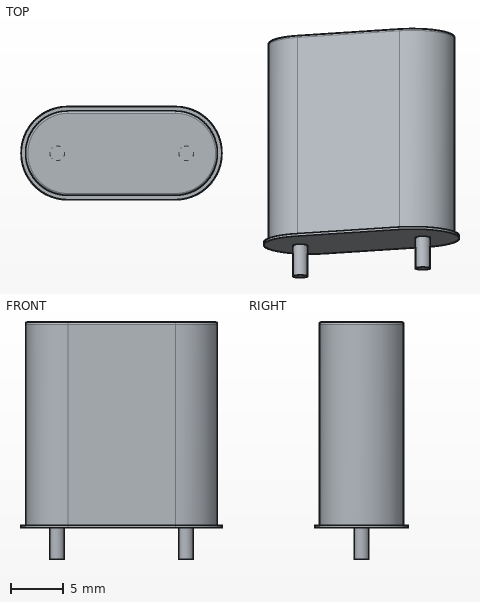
import cadquery as cq

flange_length = 19.23
flange_width = 8.94
flange_thickness = 0.25

flange_margin = 0.435
can_length = flange_length - 2 * flange_margin
can_width = flange_width - 2 * flange_margin
can_top_radius = 0.2

pin_diameter = 1.4
pin_spacing = 12.34
pin_length = 3.0

overall_height = 22.7
can_top = overall_height - pin_length


def obround(length, width, bottom, top):
    """Upright obround prism, long axis along X, centred on the Z axis."""
    return cq.Workplane("XY").workplane(offset=bottom).slot2D(length, width).extrude(top - bottom)


def make_flange():
    return obround(flange_length, flange_width, 0, flange_thickness)


def make_can():
    can = obround(can_length, can_width, 0, can_top)
    return can.faces(">Z").edges().fillet(can_top_radius)


def make_pins():
    """Two round pins, reaching down from the top of the flange."""
    return (
        cq.Workplane("XY")
        .workplane(offset=-pin_length)
        .pushPoints([(-pin_spacing / 2, 0), (pin_spacing / 2, 0)])
        .circle(pin_diameter / 2)
        .extrude(pin_length + flange_thickness)
    )


result = make_flange().union(make_can()).union(make_pins())